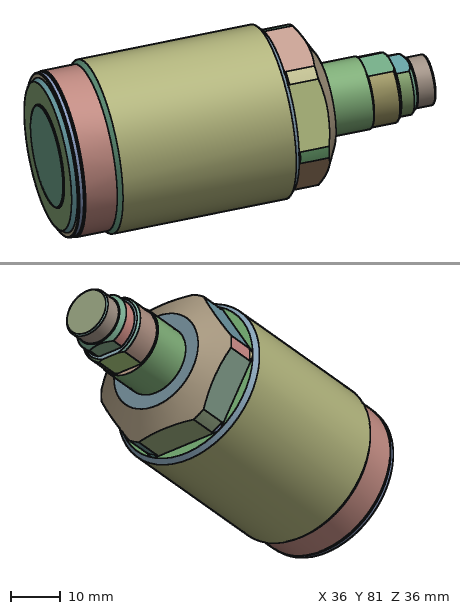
import cadquery as cq
import math

LENGTH = 81.0

EDGE_BEVEL = 0.2

BARREL_RADIUS = 18.0
FRONT_RING_RADIUS = 17.2
NECK_RADIUS = 7.5
HOUSING_FRONT_Y = 2.4
SHOULDER_START_Y = 9.3
SHOULDER_END_Y = 10.3
BARREL_REAR_Y = 48.0
BARREL_REAR_BEVEL = 1.0
HEX_ACROSS_FLATS = 30.0
HEX_CORNER_RADIUS = 16.5
HEX_FOOT_FLARE = 0.4
HEX_REAR_Y = 57.9
HEX_FACE_RADIUS = 10.7
HEX_BEVEL_ANGLE = 30.0

CAP_RADIUS = 17.0
CAP_FACE_RADIUS = 15.95
CAP_TOP_RADIUS = 15.3
CAP_FACE_Y = 1.2
CAP_TOP_Y = 0.25
DISC_RADIUS = 10.7
DISC_BEVEL = CAP_TOP_Y

CLAMP_FRONT_Y = 67.0
CLAMP_RADIUS = 7.3
CLAMP_ACROSS_FLATS = 13.05
CLAMP_REAR_BEVEL = 0.5
LOCK_FRONT_Y = 73.1
LOCK_RADIUS = 6.3
LOCK_ACROSS_FLATS = 11.1
LOCK_REAR_BEVEL = 1.0
TIP_FRONT_Y = 76.95
TIP_RADIUS = 5.3
TIP_REAR_BEVEL = 0.3


def revolve_profile(points):
    """Solid of revolution about the Y axis from (radius, y) points."""
    return cq.Workplane("XY").polyline(points).close().revolve(360, (0, 0, 0), (0, 1, 0))


def beveled_cylinder(radius, front_y, rear_y, front_bevel, rear_bevel):
    """Cylinder along Y with 45 degree bevels on both end edges."""
    return revolve_profile([
        (0, front_y),
        (radius - front_bevel, front_y),
        (radius, front_y + front_bevel),
        (radius, rear_y - rear_bevel),
        (radius - rear_bevel, rear_y),
        (0, rear_y),
    ])


def make_hexagon():
    """Hexagon with flats facing +Z and -Z, turned corners, a rear bevel and a flared foot."""
    bevel_length = (HEX_CORNER_RADIUS - HEX_FACE_RADIUS) * math.tan(math.radians(HEX_BEVEL_ANGLE))
    turned = revolve_profile([
        (0, BARREL_REAR_Y),
        (HEX_CORNER_RADIUS + HEX_FOOT_FLARE, BARREL_REAR_Y),
        (HEX_CORNER_RADIUS, BARREL_REAR_Y + HEX_FOOT_FLARE),
        (HEX_CORNER_RADIUS, HEX_REAR_Y - bevel_length),
        (HEX_FACE_RADIUS, HEX_REAR_Y),
        (0, HEX_REAR_Y),
    ])
    across_corners = HEX_ACROSS_FLATS / math.cos(math.pi / 6)
    prism = (
        cq.Workplane("XZ", origin=(0, BARREL_REAR_Y, 0))
        .polygon(6, across_corners)
        .extrude(BARREL_REAR_Y - HEX_REAR_Y)
    )
    return turned.intersect(prism)


def make_housing():
    """Barrel with a narrower front ring, the hexagon behind it and the neck."""
    barrel = revolve_profile([
        (0, HOUSING_FRONT_Y),
        (FRONT_RING_RADIUS - EDGE_BEVEL, HOUSING_FRONT_Y),
        (FRONT_RING_RADIUS, HOUSING_FRONT_Y + EDGE_BEVEL),
        (FRONT_RING_RADIUS, SHOULDER_START_Y),
        (BARREL_RADIUS, SHOULDER_END_Y),
        (BARREL_RADIUS, BARREL_REAR_Y - BARREL_REAR_BEVEL),
        (BARREL_RADIUS - BARREL_REAR_BEVEL, BARREL_REAR_Y),
        (0, BARREL_REAR_Y),
    ])
    neck = revolve_profile([
        (0, HEX_REAR_Y),
        (NECK_RADIUS, HEX_REAR_Y),
        (NECK_RADIUS, CLAMP_FRONT_Y),
        (0, CLAMP_FRONT_Y),
    ])
    return barrel.union(make_hexagon()).union(neck)


def make_front_cap():
    """Flat cap on the housing front with a raised conical rim and a hole for the sensor disc."""
    return revolve_profile([
        (DISC_RADIUS, HOUSING_FRONT_Y),
        (CAP_RADIUS - EDGE_BEVEL, HOUSING_FRONT_Y),
        (CAP_RADIUS, HOUSING_FRONT_Y - EDGE_BEVEL),
        (CAP_RADIUS, CAP_FACE_Y + EDGE_BEVEL),
        (CAP_RADIUS - EDGE_BEVEL, CAP_FACE_Y),
        (CAP_FACE_RADIUS, CAP_FACE_Y),
        (CAP_TOP_RADIUS, CAP_TOP_Y),
        (DISC_RADIUS, CAP_TOP_Y),
    ])


def make_sensor_disc():
    """Disc filling the cap hole, standing out of the cap by its front bevel."""
    return revolve_profile([
        (0, 0),
        (DISC_RADIUS - DISC_BEVEL, 0),
        (DISC_RADIUS, DISC_BEVEL),
        (DISC_RADIUS, HOUSING_FRONT_Y),
        (0, HOUSING_FRONT_Y),
    ])


def make_flatted_nut(radius, across_flats, front_y, rear_y, rear_bevel):
    """Round nut with beveled edges and two wrench flats facing +Z and -Z."""
    nut = beveled_cylinder(radius, front_y, rear_y, EDGE_BEVEL, rear_bevel)
    middle_y = (front_y + rear_y) / 2
    flats = cq.Workplane("XY").box(2 * radius, rear_y - front_y, across_flats).translate((0, middle_y, 0))
    return nut.intersect(flats)


housing = make_housing()
front_cap = make_front_cap()
sensor_disc = make_sensor_disc()
clamp_nut = make_flatted_nut(
    CLAMP_RADIUS, CLAMP_ACROSS_FLATS, CLAMP_FRONT_Y, LOCK_FRONT_Y, CLAMP_REAR_BEVEL
)
lock_nut = make_flatted_nut(
    LOCK_RADIUS, LOCK_ACROSS_FLATS, LOCK_FRONT_Y, TIP_FRONT_Y, LOCK_REAR_BEVEL
)
cable_tip = beveled_cylinder(TIP_RADIUS, TIP_FRONT_Y, LENGTH, EDGE_BEVEL, TIP_REAR_BEVEL)

result = cq.Compound.makeCompound([
    housing.val(),
    front_cap.val(),
    sensor_disc.val(),
    clamp_nut.val(),
    lock_nut.val(),
    cable_tip.val(),
])